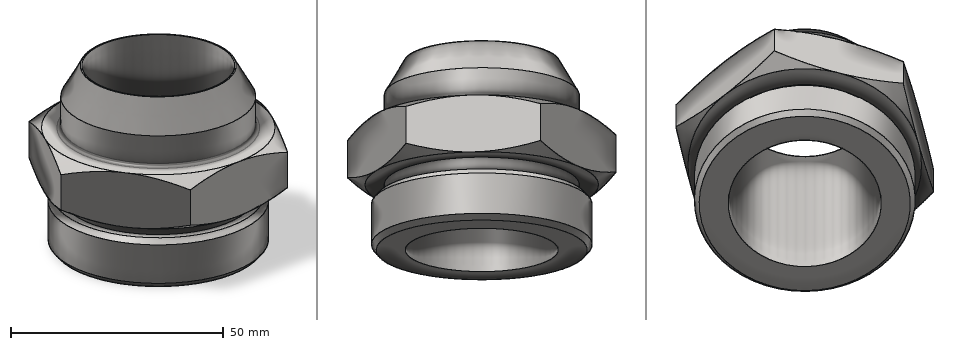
import cadquery as cq
import math

height = 46.0
bore_diameter = 36.0

hex_across_corners = 63.5
hex_across_flats = hex_across_corners * math.cos(math.radians(30))
hex_bottom = 16.0
hex_top = 30.0
hex_chamfer_angle = 30.0
corner_clearance = 0.65

collar_diameter = 52.0
collar_top = 12.6
collar_chamfer_height = 1.35
collar_chamfer_width = 1.15
groove_diameter = 46.0

spigot_diameter = 46.0
nose_height = 8.0
nose_angle = 30.0
spigot_fillet = 0.9


def revolve_profile(points):
    """Revolve a closed (radius, height) outline around Z."""
    return cq.Workplane("XZ").polyline(points).close().revolve(360, (0, 0), (0, 1))


def make_hexagon():
    """Hexagonal prism with both ends turned down to a cone at the corners."""
    hex_height = hex_top - hex_bottom
    prism = (
        cq.Workplane("XY", origin=(0, 0, hex_bottom))
        .polygon(6, hex_across_corners)
        .extrude(hex_height)
        .rotate((0, 0, 0), (0, 0, 1), 30)
    )
    flat_radius = hex_across_flats / 2
    outer_radius = hex_across_corners / 2 + corner_clearance
    drop = (outer_radius - flat_radius) * math.tan(math.radians(hex_chamfer_angle))
    envelope = revolve_profile([
        (0, hex_bottom),
        (flat_radius, hex_bottom),
        (outer_radius, hex_bottom + drop),
        (outer_radius, hex_top - drop),
        (flat_radius, hex_top),
        (0, hex_top),
    ])
    return prism.intersect(envelope)


def make_lower_end():
    """Collar chamfered at both ends, with the groove up to the hexagon."""
    collar_radius = collar_diameter / 2
    end_radius = collar_radius - collar_chamfer_width
    groove_radius = groove_diameter / 2
    return revolve_profile([
        (0, 0),
        (end_radius, 0),
        (collar_radius, collar_chamfer_height),
        (collar_radius, collar_top - collar_chamfer_height),
        (end_radius, collar_top),
        (groove_radius, collar_top),
        (groove_radius, hex_bottom),
        (0, hex_bottom),
    ])


def make_spigot():
    """Spigot with a root fillet on the hexagon and a conical nose."""
    radius = spigot_diameter / 2
    nose_radius = radius - nose_height * math.tan(math.radians(nose_angle))
    arc_offset = spigot_fillet * (1 - math.sqrt(0.5))
    return (
        cq.Workplane("XZ")
        .moveTo(0, hex_top)
        .lineTo(radius + spigot_fillet, hex_top)
        .threePointArc(
            (radius + arc_offset, hex_top + arc_offset),
            (radius, hex_top + spigot_fillet),
        )
        .lineTo(radius, height - nose_height)
        .lineTo(nose_radius, height)
        .lineTo(0, height)
        .close()
        .revolve(360, (0, 0), (0, 1))
    )


bore = cq.Workplane("XY").circle(bore_diameter / 2).extrude(height)
result = make_lower_end().union(make_hexagon()).union(make_spigot()).cut(bore)